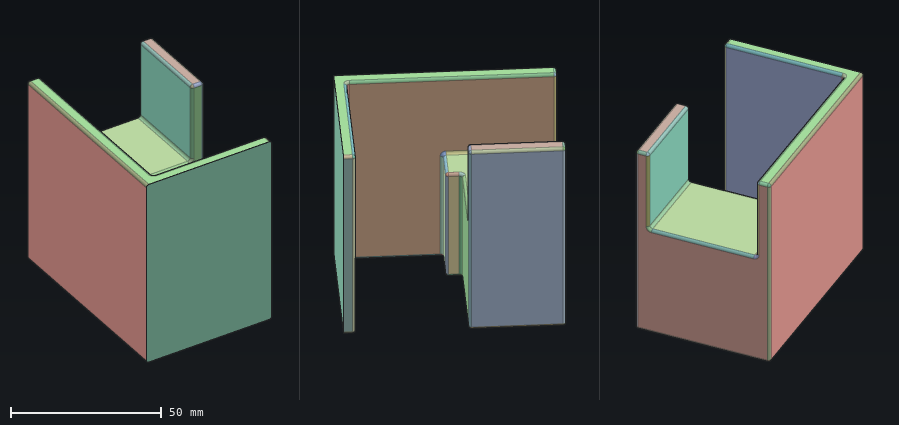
import cadquery as cq

LENGTH = 74.0
WIDTH = 49.3
HEIGHT = 71.0

SIDE_WALL = 5.0
END_WALL = 4.0

FLOOR_DEPTH = 30.0

OPENING_START = 32.4
STEP_START = 37.9
STEP_Y = 17.3

EDGE_RADIUS = 1.0


def make_block():
    return cq.Workplane("XY").box(LENGTH, WIDTH, HEIGHT, centered=False)


def make_opening():
    end_wall_face = LENGTH - END_WALL
    outline = [
        (OPENING_START, WIDTH),
        (OPENING_START, STEP_Y),
        (STEP_START, STEP_Y),
        (STEP_START, SIDE_WALL),
        (end_wall_face, SIDE_WALL),
        (end_wall_face, WIDTH),
    ]
    return cq.Workplane("XY").polyline(outline).close().extrude(HEIGHT)


def make_pocket():
    """Channel above the floor, open at the -X end and into the opening."""
    return (
        cq.Workplane("XY", origin=(0, SIDE_WALL, HEIGHT - FLOOR_DEPTH))
        .box(LENGTH - END_WALL, WIDTH - 2 * SIDE_WALL, FLOOR_DEPTH, centered=False)
    )


def round_edges(body):
    """Round every edge except those bordering the flat +X face."""
    return body.edges("not >X").fillet(EDGE_RADIUS)


body = make_block().cut(make_opening()).cut(make_pocket())
result = round_edges(body)